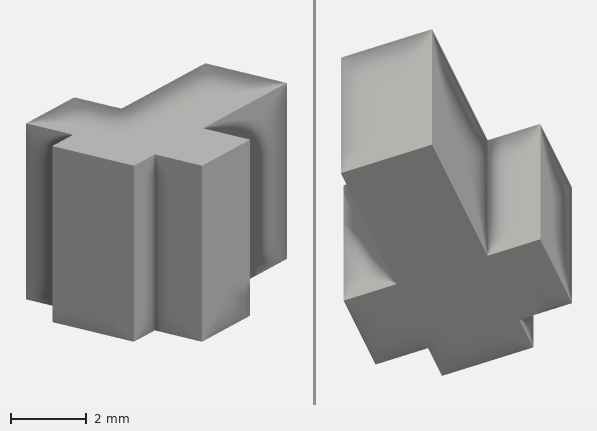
import cadquery as cq

total_length = 7.3
height = 5.0
stem_width = 2.6
crossbar_width = 5.6
crossbar_depth = 2.3
nose_length = 1.0

stem = cq.Workplane("XY").box(stem_width, total_length, height, centered=(True, False, True))

crossbar = (
    cq.Workplane("XY")
    .box(crossbar_width, crossbar_depth, height, centered=(True, False, True))
    .translate((0, nose_length, 0))
)

result = stem.union(crossbar).clean()